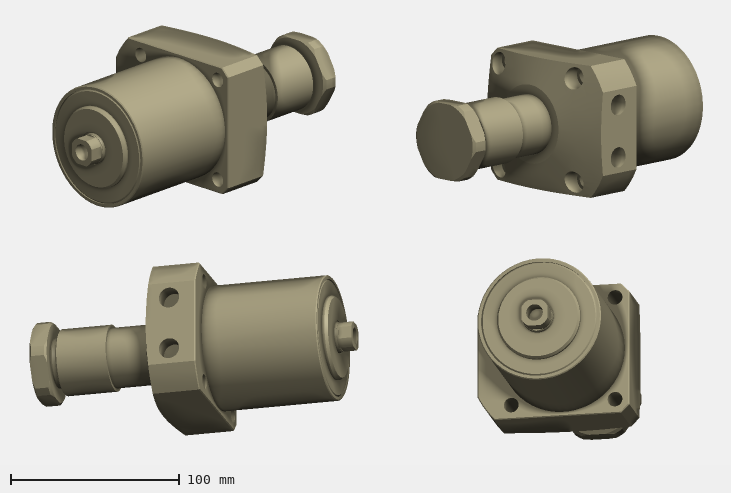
import cadquery as cq
import math


flange_left = 52.0
flange_right = 40.0
flange_half_height = 40.0
flange_depth = 38.0
flange_arc_radius = 57.8
flange_corner_chamfer = 5.0
flange_edge_chamfer = 0.5
cone_flat_radius = 23.9
cone_angle = 15

mount_hole_radius = 4.5
mount_hole_offset = 31.5
counterbore_radius = 6.5
counterbore_floor_y = 23.3
port_radius = 6.2
port_depth = 11.6
port_y = 16.1
port_offset_z = 16.0

barrel_radius = 37.5
barrel_end_y = -70.6
barrel_edge_chamfer = 0.5

cap_radius = 35.1
cap_rim_chamfer = 1.0
cap_thickness = 7.8
cap_boss_radius = 25.2
cap_boss_height = 3.3
cap_boss_face_radius = 24.0
cap_boss_taper_height = 1.7
cap_recess_radius = 10.0
cap_recess_depth = 0.5

stem_tip_y = -84.0
stem_radius = 8.7
stem_across_flats = 16.0
stem_flat_length = 8.0
stem_collar_radius = 9.3
stem_collar_tip_radius = 9.0
stem_collar_height = 1.2
stem_hole_radius = 5.0
stem_hole_depth = 9.7

rod_radius = 18.0
sleeve_radius = 20.0
sleeve_start_y = 64.0
sleeve_end_y = 95.0
sleeve_edge_chamfer = 0.5

bolt_end_y = 110.0
bolt_head_height = 10.7
bolt_across_flats = 46.0
bolt_turned_radius = 25.0
bolt_face_radius = 23.5
bolt_chamfer_height = 1.4
bolt_collar_radius = 15.0
bolt_collar_height = 0.8
bolt_neck_radius = 14.2
bolt_taper_height = 1.7

cap_inner_y = barrel_end_y + cap_thickness
cap_face_y = barrel_end_y - cap_boss_height
cap_recess_floor_y = cap_face_y + cap_recess_depth
bolt_head_y = bolt_end_y - bolt_head_height


def cylinder(radius, start_y, end_y):
    """Cylinder on the Y axis between two Y positions."""
    return cq.Workplane("XZ", origin=(0, start_y, 0)).circle(radius).extrude(start_y - end_y)


def revolved(profile):
    """Solid of revolution about the Y axis from (radius, y) points."""
    return cq.Workplane("XY").polyline(profile).close().revolve(360, (0, 0, 0), (0, 1, 0))


def flange():
    """Flange block with an arc-cut left side, chamfered right corners and a conical back."""
    block = (
        cq.Workplane("XY")
        .box(flange_left + flange_right, flange_depth, 2 * flange_half_height, centered=False)
        .translate((-flange_left, 0, -flange_half_height))
        .edges("|Y and >X")
        .chamfer(flange_corner_chamfer)
    )
    block = block.intersect(cylinder(flange_arc_radius, 0, flange_depth))
    block = block.faces("<Y").edges().chamfer(flange_edge_chamfer)
    cone_drop = (flange_arc_radius - cone_flat_radius) * math.tan(math.radians(cone_angle))
    cone_envelope = revolved([
        (0, 0),
        (flange_arc_radius, 0),
        (flange_arc_radius, flange_depth - cone_drop),
        (cone_flat_radius, flange_depth),
        (0, flange_depth),
    ])
    return block.intersect(cone_envelope)


def corner_cylinders(radius, start_y):
    """Four cylinders on the mounting hole axes, from start_y to the back of the flange."""
    return (
        cq.Workplane("XZ", origin=(0, start_y, 0))
        .rect(2 * mount_hole_offset, 2 * mount_hole_offset, forConstruction=True)
        .vertices()
        .circle(radius)
        .extrude(start_y - flange_depth)
    )


def mounting_holes():
    """Four through holes in the flange corners, counterbored from the conical back."""
    counterbores = corner_cylinders(counterbore_radius, counterbore_floor_y)
    return corner_cylinders(mount_hole_radius, 0).union(counterbores)


def ports():
    """Two blind ports in the flange's left side."""
    return (
        cq.Workplane("YZ", origin=(-flange_left, 0, 0))
        .pushPoints([(port_y, -port_offset_z), (port_y, port_offset_z)])
        .circle(port_radius)
        .extrude(port_depth)
    )


def make_housing():
    """Flange and barrel in one piece, bored for the rod and recessed for the end cap."""
    barrel = cylinder(barrel_radius, barrel_end_y, 0).faces("<Y").edges().chamfer(barrel_edge_chamfer)
    body = flange().union(barrel)
    body = body.cut(mounting_holes()).cut(ports())
    body = body.cut(cylinder(rod_radius, cap_inner_y, flange_depth))
    return body.cut(cylinder(cap_radius, barrel_end_y, cap_inner_y))


def make_end_cap():
    """Disc closing the barrel, with a raised, tapered boss and a recessed bore for the stem."""
    disc = cylinder(cap_radius, barrel_end_y, cap_inner_y).faces("<Y").edges().chamfer(cap_rim_chamfer)
    boss = revolved([
        (0, barrel_end_y),
        (cap_boss_radius, barrel_end_y),
        (cap_boss_radius, cap_face_y + cap_boss_taper_height),
        (cap_boss_face_radius, cap_face_y),
        (0, cap_face_y),
    ])
    bore = cylinder(stem_radius, cap_face_y, cap_inner_y)
    recess = cylinder(cap_recess_radius, cap_face_y, cap_recess_floor_y)
    return disc.union(boss).cut(bore).cut(recess)


def make_stem():
    """Rear stem with a tapered collar, four wrench flats and a blind hole in its tip."""
    flats_end_y = stem_tip_y + stem_flat_length
    shank = cylinder(stem_radius, flats_end_y, cap_inner_y)
    tip = cylinder(stem_radius, stem_tip_y, flats_end_y)
    square = (
        cq.Workplane("XZ", origin=(0, stem_tip_y, 0))
        .rect(stem_across_flats, stem_across_flats)
        .extrude(-stem_flat_length)
    )
    collar = revolved([
        (0, cap_recess_floor_y),
        (stem_collar_radius, cap_recess_floor_y),
        (stem_collar_radius, cap_face_y),
        (stem_collar_tip_radius, cap_face_y - stem_collar_height),
        (0, cap_face_y - stem_collar_height),
    ])
    hole = cylinder(stem_hole_radius, stem_tip_y, stem_tip_y + stem_hole_depth)
    return shank.union(tip.intersect(square)).union(collar).cut(hole)


def make_rod():
    """Piston rod running from the end cap through the flange to the sleeve."""
    return cylinder(rod_radius, cap_inner_y, sleeve_start_y)


def make_sleeve():
    """Wider cylinder on the end of the rod."""
    blank = cylinder(sleeve_radius, sleeve_start_y, sleeve_end_y)
    return blank.faces(">Y").edges().chamfer(sleeve_edge_chamfer)


def hexagon_prism():
    """Hexagonal bar of the bolt head, with two of its flats facing up and down."""
    half_corner_angle = 30
    return (
        cq.Workplane("XZ", origin=(0, bolt_head_y, 0))
        .polygon(6, bolt_across_flats, circumscribed=True)
        .extrude(-bolt_head_height)
        .rotate((0, 0, 0), (0, 1, 0), half_corner_angle)
    )


def make_bolt():
    """Hexagonal head with turned corners, on a short tapered neck."""
    turned_envelope = revolved([
        (0, bolt_head_y),
        (bolt_face_radius, bolt_head_y),
        (bolt_turned_radius, bolt_head_y + bolt_chamfer_height),
        (bolt_turned_radius, bolt_end_y - bolt_chamfer_height),
        (bolt_face_radius, bolt_end_y),
        (0, bolt_end_y),
    ])
    collar_y = bolt_head_y - bolt_collar_height
    neck = revolved([
        (0, bolt_head_y),
        (bolt_collar_radius, bolt_head_y),
        (bolt_collar_radius, collar_y),
        (bolt_neck_radius, collar_y - bolt_taper_height),
        (bolt_neck_radius, sleeve_end_y),
        (0, sleeve_end_y),
    ])
    return hexagon_prism().intersect(turned_envelope).union(neck)


housing = make_housing()
end_cap = make_end_cap()
stem = make_stem()
rod = make_rod()
sleeve = make_sleeve()
bolt = make_bolt()

result = cq.Compound.makeCompound([
    housing.val(),
    end_cap.val(),
    stem.val(),
    rod.val(),
    sleeve.val(),
    bolt.val(),
])